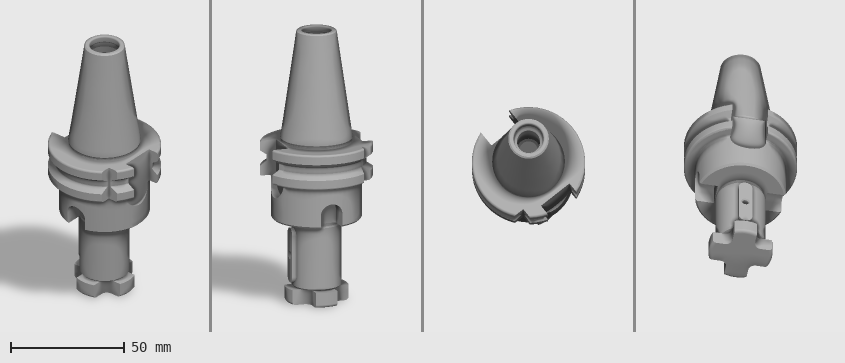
import cadquery as cq

TOTAL_LENGTH = 123.8
TAPER_BOTTOM = 74.8
FLANGE_TOP = 72.9
FLANGE_BOTTOM = 57.0
BODY_BOTTOM = 37.9
SCREW_HEAD_TOP = 6.9

OVERLAP = 1.2

GAUGE_RADIUS = 15.8
GAUGE_LEVEL = 76.0
TAPER_SLOPE = 7 / 48
TIP_CHAMFER_RADIAL = 0.6
TIP_CHAMFER_HEIGHT = 0.5
NECK_RADIUS = 15.6
NECK_CHAMFER = 0.7
NECK_FILLET = 0.6

FLANGE_RADIUS = 25.0
FLANGE_FILLET = 1.0
GROOVE_RADIUS = 22.0
GROOVE_CENTER = 65.0
GROOVE_MOUTH = 7.2
GROOVE_FLOOR = 2.8
GROOVE_FILLET = 0.4

BODY_RADIUS = 20.0
BODY_CHAMFER = 0.9
BODY_TOP_FILLET = 1.0

SPIGOT_RADIUS = 11.0
SPIGOT_CHAMFER = 0.7
RELIEF_RADIUS = 10.6
RELIEF_WIDTH = 1.5
RELIEF_RUNOUT = 0.7

PILOT_RADIUS = 6.5
PILOT_MOUTH_FILLET = 0.7
PILOT_DEPTH = 2.7
UNDERCUT_RADIUS = 6.8
UNDERCUT_TOP_DEPTH = 3.2
UNDERCUT_BOTTOM_DEPTH = 5.3
THREAD_RADIUS = 5.1
THREAD_TOP_DEPTH = 7.0
THREAD_DEPTH = 24.8
BORE_END_RADIUS = 4.1

SLOT_WIDTH = 16.1
SLOT_ARC_LEVEL = 56.7
LEFT_SLOT_FLOOR = 16.1
RIGHT_SLOT_FLOOR = 18.8

NOTCH_CORNER = 15.1

DRIVER_WIDTH = 10.2
DRIVER_TOP = 48.9
DRIVER_FLOOR = SPIGOT_RADIUS

KEY_WIDTH = 6.1
KEY_LENGTH = 25.0
KEY_CENTER = 21.7
KEY_FACE = 12.5
KEY_HOLE_RADIUS = 1.4
KEY_HOLE_DEPTH = 3.0
KEY_HOLE_CHAMFER = 0.5

HEAD_RADIUS = 14.1
HEAD_ARM_WIDTH = 10.0
HEAD_CORNER_RADIUS = 3.0
HEAD_RIM_FILLET = 1.5


def taper_radius(level):
    return GAUGE_RADIUS - (level - GAUGE_LEVEL) * TAPER_SLOPE


def revolve(points):
    """Turn an outline of (radius, level) points about the Z axis."""
    return cq.Workplane("XZ").polyline(points).close().revolve(360, (0, 0), (0, 1))


def box(x_range, y_range, z_range):
    size = [high - low for low, high in (x_range, y_range, z_range)]
    corner = (x_range[0], y_range[0], z_range[0])
    return cq.Workplane("XY").box(*size, centered=False).translate(corner)


def shank():
    tip_edge = TOTAL_LENGTH - TIP_CHAMFER_HEIGHT
    foot_radius = NECK_RADIUS + NECK_FILLET
    overlap_level = FLANGE_TOP - OVERLAP
    return (
        cq.Workplane("XZ")
        .moveTo(0, overlap_level)
        .lineTo(foot_radius, overlap_level)
        .lineTo(foot_radius, FLANGE_TOP)
        .radiusArc((NECK_RADIUS, FLANGE_TOP + NECK_FILLET), NECK_FILLET)
        .lineTo(NECK_RADIUS, TAPER_BOTTOM - NECK_CHAMFER)
        .lineTo(taper_radius(TAPER_BOTTOM), TAPER_BOTTOM)
        .lineTo(taper_radius(tip_edge), tip_edge)
        .lineTo(taper_radius(TOTAL_LENGTH) - TIP_CHAMFER_RADIAL, TOTAL_LENGTH)
        .lineTo(0, TOTAL_LENGTH)
        .close()
        .revolve(360, (0, 0), (0, 1))
    )


def rim_groove():
    """Ring with a V section whose narrow end has rounded corners."""
    outside = FLANGE_RADIUS + OVERLAP
    ring = revolve([
        (GROOVE_RADIUS, GROOVE_CENTER - GROOVE_FLOOR / 2),
        (FLANGE_RADIUS, GROOVE_CENTER - GROOVE_MOUTH / 2),
        (outside, GROOVE_CENTER - GROOVE_MOUTH / 2),
        (outside, GROOVE_CENTER + GROOVE_MOUTH / 2),
        (FLANGE_RADIUS, GROOVE_CENTER + GROOVE_MOUTH / 2),
        (GROOVE_RADIUS, GROOVE_CENTER + GROOVE_FLOOR / 2),
    ])
    return ring.edges(cq.selectors.RadiusNthSelector(0)).fillet(GROOVE_FILLET)


def flange():
    disc = (
        cq.Workplane("XY", origin=(0, 0, FLANGE_BOTTOM))
        .circle(FLANGE_RADIUS)
        .extrude(FLANGE_TOP - FLANGE_BOTTOM)
        .edges("%CIRCLE")
        .fillet(FLANGE_FILLET)
    )
    return disc.cut(rim_groove())


def flange_notch():
    reach = FLANGE_RADIUS + OVERLAP
    return box((NOTCH_CORNER, reach), (-reach, -NOTCH_CORNER), (FLANGE_BOTTOM, FLANGE_TOP))


def body():
    fillet_top = BODY_RADIUS + BODY_TOP_FILLET
    return (
        cq.Workplane("XZ")
        .moveTo(0, BODY_BOTTOM)
        .lineTo(BODY_RADIUS - BODY_CHAMFER, BODY_BOTTOM)
        .lineTo(BODY_RADIUS, BODY_BOTTOM + BODY_CHAMFER)
        .lineTo(BODY_RADIUS, FLANGE_BOTTOM - BODY_TOP_FILLET)
        .radiusArc((fillet_top, FLANGE_BOTTOM), BODY_TOP_FILLET)
        .lineTo(fillet_top, FLANGE_BOTTOM + OVERLAP)
        .lineTo(0, FLANGE_BOTTOM + OVERLAP)
        .close()
        .revolve(360, (0, 0), (0, 1))
    )


def spigot():
    relief_bottom = BODY_BOTTOM - RELIEF_WIDTH
    return revolve([
        (0, SCREW_HEAD_TOP),
        (SPIGOT_RADIUS - SPIGOT_CHAMFER, SCREW_HEAD_TOP),
        (SPIGOT_RADIUS, SCREW_HEAD_TOP + SPIGOT_CHAMFER),
        (SPIGOT_RADIUS, relief_bottom - RELIEF_RUNOUT),
        (RELIEF_RADIUS, relief_bottom),
        (RELIEF_RADIUS, BODY_BOTTOM + OVERLAP),
        (0, BODY_BOTTOM + OVERLAP),
    ])


def stud_bore():
    bore_end_depth = THREAD_DEPTH + THREAD_RADIUS - BORE_END_RADIUS
    mouth_radius = PILOT_RADIUS + PILOT_MOUTH_FILLET
    return (
        cq.Workplane("XZ", origin=(0, 0, TOTAL_LENGTH))
        .lineTo(mouth_radius, 0)
        .radiusArc((PILOT_RADIUS, -PILOT_MOUTH_FILLET), -PILOT_MOUTH_FILLET)
        .lineTo(PILOT_RADIUS, -PILOT_DEPTH)
        .lineTo(UNDERCUT_RADIUS, -UNDERCUT_TOP_DEPTH)
        .lineTo(UNDERCUT_RADIUS, -UNDERCUT_BOTTOM_DEPTH)
        .lineTo(THREAD_RADIUS, -THREAD_TOP_DEPTH)
        .lineTo(THREAD_RADIUS, -THREAD_DEPTH)
        .lineTo(BORE_END_RADIUS, -bore_end_depth)
        .lineTo(0, -bore_end_depth)
        .close()
        .revolve(360, (0, 0), (0, 1))
    )


def gripper_slot(floor, side):
    """Round-ended slot, cut up past the neck fillet; side is -1 or +1 along X."""
    half = SLOT_WIDTH / 2
    return (
        cq.Workplane("YZ")
        .moveTo(-half, TAPER_BOTTOM)
        .lineTo(-half, SLOT_ARC_LEVEL)
        .threePointArc((0, SLOT_ARC_LEVEL - half), (half, SLOT_ARC_LEVEL))
        .lineTo(half, TAPER_BOTTOM)
        .close()
        .extrude(side * FLANGE_RADIUS)
        .translate((side * floor, 0, 0))
    )


def driver_slot(side):
    """Round-topped slot, open at the bottom of the body; side is -1 or +1 along Y."""
    half = DRIVER_WIDTH / 2
    return (
        cq.Workplane("XZ")
        .moveTo(-half, BODY_BOTTOM)
        .lineTo(-half, DRIVER_TOP - half)
        .threePointArc((0, DRIVER_TOP), (half, DRIVER_TOP - half))
        .lineTo(half, BODY_BOTTOM)
        .close()
        .extrude(-side * BODY_RADIUS)
        .translate((0, side * DRIVER_FLOOR, 0))
    )


def feather_key():
    return (
        cq.Workplane("YZ", origin=(-KEY_FACE, 0, KEY_CENTER))
        .slot2D(KEY_LENGTH, KEY_WIDTH, 90)
        .extrude(KEY_FACE)
    )


def key_screw_hole():
    mouth = KEY_HOLE_RADIUS + KEY_HOLE_CHAMFER
    return (
        cq.Workplane("XY")
        .polyline([
            (0, 0),
            (mouth, 0),
            (KEY_HOLE_RADIUS, KEY_HOLE_CHAMFER),
            (KEY_HOLE_RADIUS, KEY_HOLE_DEPTH),
            (0, KEY_HOLE_DEPTH),
        ])
        .close()
        .revolve(360, (0, 0), (0, 1))
        .rotate((0, 0, 0), (0, 0, 1), -90)
        .translate((-KEY_FACE, 0, KEY_CENTER))
    )


def screw_head():
    arm = cq.Workplane("XY").rect(2 * HEAD_RADIUS, HEAD_ARM_WIDTH).extrude(SCREW_HEAD_TOP)
    cross = arm.union(arm.rotate((0, 0, 0), (0, 0, 1), 90))
    inner_reach = HEAD_ARM_WIDTH
    inner_corners = cq.selectors.BoxSelector(
        (-inner_reach, -inner_reach, 0),
        (inner_reach, inner_reach, SCREW_HEAD_TOP),
    )
    cross = cross.edges("|Z").edges(inner_corners).fillet(HEAD_CORNER_RADIUS)
    disc = (
        cq.Workplane("XY")
        .circle(HEAD_RADIUS)
        .extrude(SCREW_HEAD_TOP)
        .edges("%CIRCLE and <Z")
        .fillet(HEAD_RIM_FILLET)
    )
    return cross.intersect(disc)


holder = flange().cut(flange_notch()).union(body()).union(shank())
holder = holder.cut(gripper_slot(LEFT_SLOT_FLOOR, -1))
holder = holder.cut(gripper_slot(RIGHT_SLOT_FLOOR, 1))
for slot_side in (-1, 1):
    holder = holder.cut(driver_slot(slot_side))
holder = holder.cut(stud_bore())

keyed_spigot = spigot().union(feather_key()).cut(key_screw_hole())
result = holder.union(keyed_spigot).union(screw_head())